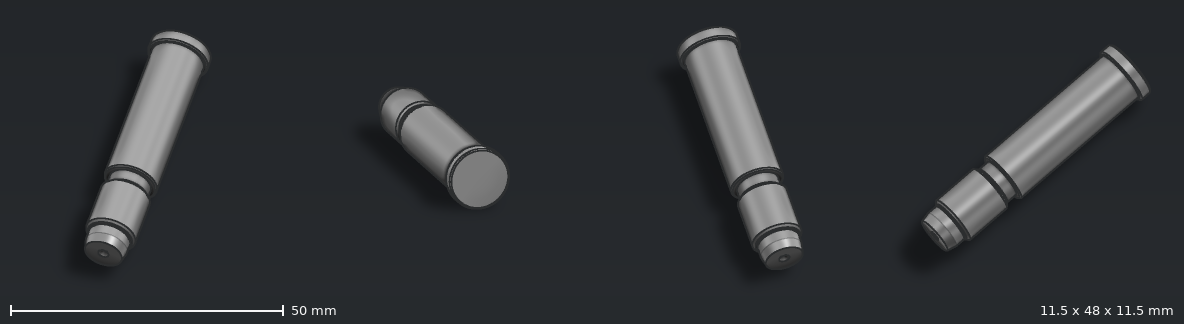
import cadquery as cq

LENGTH = 48.0
HEAD_RADIUS = 5.75
HEAD_LENGTH = 2.5
HEAD_CHAMFER = 0.3
SHAFT_RADIUS = 5.05
SHAFT_START = 16.5
SHAFT_CHAMFER = 0.3
NECK_RADIUS = 4.0
NOSE_TIP_RADIUS = 3.55
NOSE_TAPER_LENGTH = 1.8

SLEEVE_RADIUS = 4.75
SLEEVE_START = 4.05
SLEEVE_LENGTH = 9.95
SLEEVE_CHAMFER = 0.5
SLEEVE_END = SLEEVE_START + SLEEVE_LENGTH
GROOVE_CHAMFER = 0.35
GROOVE_RADIUS = NECK_RADIUS - GROOVE_CHAMFER

CENTRE_RADIUS = 1.0
CENTRE_DEPTH = CENTRE_RADIUS


def revolve_about_y(outline):
    """Turn a closed outline of (radius, y) points about the Y axis."""
    return cq.Workplane("XY").polyline(outline).close().revolve(360, (0, 0, 0), (0, 1, 0))


def make_pin():
    """Headed pin with a tapered, centre-drilled nose and a groove for the sleeve."""
    head_start = LENGTH - HEAD_LENGTH
    return revolve_about_y([
        (0, CENTRE_DEPTH),
        (CENTRE_RADIUS, 0),
        (NOSE_TIP_RADIUS, 0),
        (NECK_RADIUS, NOSE_TAPER_LENGTH),
        (NECK_RADIUS, SLEEVE_START - GROOVE_CHAMFER),
        (GROOVE_RADIUS, SLEEVE_START),
        (GROOVE_RADIUS, SLEEVE_END),
        (NECK_RADIUS, SLEEVE_END + GROOVE_CHAMFER),
        (NECK_RADIUS, SHAFT_START),
        (SHAFT_RADIUS - SHAFT_CHAMFER, SHAFT_START),
        (SHAFT_RADIUS, SHAFT_START + SHAFT_CHAMFER),
        (SHAFT_RADIUS, head_start),
        (HEAD_RADIUS - HEAD_CHAMFER, head_start),
        (HEAD_RADIUS, head_start + HEAD_CHAMFER),
        (HEAD_RADIUS, LENGTH - HEAD_CHAMFER),
        (HEAD_RADIUS - HEAD_CHAMFER, LENGTH),
        (0, LENGTH),
    ])


def make_sleeve():
    """Plain sleeve filling the groove, chamfered on both outer rims."""
    return revolve_about_y([
        (GROOVE_RADIUS, SLEEVE_START),
        (SLEEVE_RADIUS - SLEEVE_CHAMFER, SLEEVE_START),
        (SLEEVE_RADIUS, SLEEVE_START + SLEEVE_CHAMFER),
        (SLEEVE_RADIUS, SLEEVE_END - SLEEVE_CHAMFER),
        (SLEEVE_RADIUS - SLEEVE_CHAMFER, SLEEVE_END),
        (GROOVE_RADIUS, SLEEVE_END),
    ])


pin = make_pin()
sleeve = make_sleeve()
result = cq.Compound.makeCompound([pin.val(), sleeve.val()])